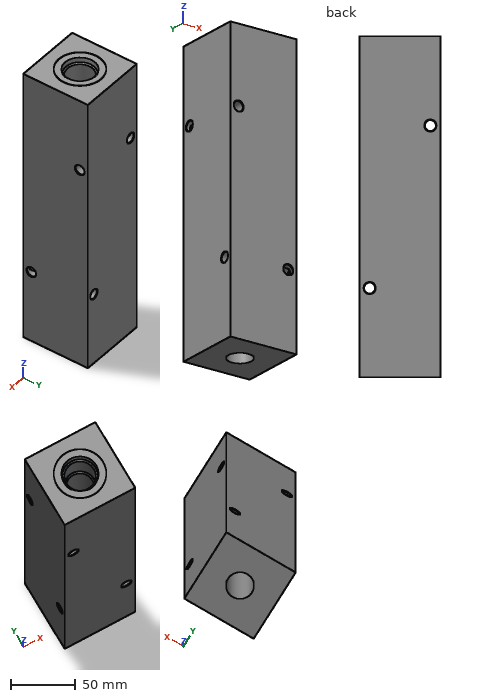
import cadquery as cq
length = 266.7
side = 63.5
edge_chamfer = 0.13

bore_diameter = 22.0
thread_diameter = 24.5
thread_depth = 26.7
seal_cone_mouth_diameter = 29.0
seal_cone_floor_diameter = 27.5
seal_cone_depth = 4.0
lead_in_depth = 1.0
seat_diameter = 41.0
seat_depth = 0.5

hole_diameter = 8.5
hole_mouth_diameter = 9.5
hole_edge_distance = 8.0
hole_level_offset = 63.5

hole_offset = side / 2 - hole_edge_distance
middle_level = length / 2


def make_block():
    block = cq.Workplane("XY").box(side, side, length, centered=(True, True, False))
    return block.edges().chamfer(edge_chamfer)


def make_bore():
    """Through bore; from the top: shallow seat, steep seal cone, lead-in cone, thread bore."""
    bore_radius = bore_diameter / 2
    thread_radius = thread_diameter / 2
    cone_mouth_radius = seal_cone_mouth_diameter / 2
    cone_floor_radius = seal_cone_floor_diameter / 2
    seat_radius = seat_diameter / 2
    seat_level = length - seat_depth
    cone_floor = seat_level - seal_cone_depth
    thread_top = cone_floor - lead_in_depth
    thread_floor = length - thread_depth
    profile = [
        (0, 0),
        (bore_radius, 0),
        (bore_radius, thread_floor - (thread_radius - bore_radius)),
        (thread_radius, thread_floor),
        (thread_radius, thread_top),
        (cone_floor_radius, cone_floor),
        (cone_mouth_radius, seat_level),
        (seat_radius, seat_level),
        (seat_radius, length),
        (0, length),
    ]
    return cq.Workplane("XZ").polyline(profile).close().revolve(360, (0, 0), (0, 1))


def make_cross_hole():
    """Hole along Z, centred on the origin, with a countersink at each end."""
    half_side = side / 2
    hole_radius = hole_diameter / 2
    mouth_radius = hole_mouth_diameter / 2
    countersink_depth = mouth_radius - hole_radius
    profile = [
        (0, -half_side),
        (mouth_radius, -half_side),
        (hole_radius, countersink_depth - half_side),
        (hole_radius, half_side - countersink_depth),
        (mouth_radius, half_side),
        (0, half_side),
    ]
    return cq.Workplane("XZ").polyline(profile).close().revolve(360, (0, 0), (0, 1))


along_z = make_cross_hole()
along_x = along_z.rotate((0, 0, 0), (0, 1, 0), 90)
along_y = along_z.rotate((0, 0, 0), (1, 0, 0), 90)

result = make_block().cut(make_bore())

for direction in (1, -1):
    level = middle_level + direction * hole_level_offset
    result = result.cut(along_x.translate((0, direction * hole_offset, level)))
    result = result.cut(along_y.translate((-direction * hole_offset, 0, level)))